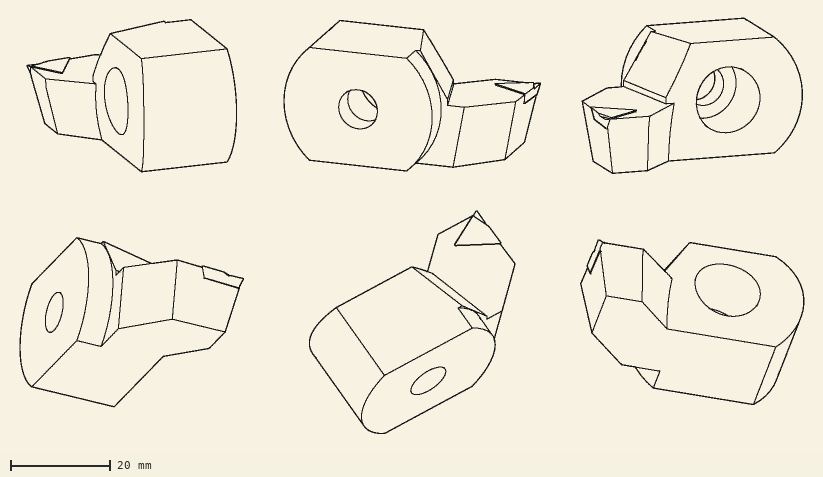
import cadquery as cq
import math


height = 24.0
half_height = height / 2
end_radius = 15.9
body_depth = 20.05
flange_depth = 5.45
front_crown = 1.55
bore_diameter = 8.3
counterbore_diameter = 13.6
counterbore_depth = body_depth - flange_depth

seat_tilt = math.radians(3)
seat_back_z = 1.05
shoulder_skew = math.radians(15)
shoulder_slope = math.radians(59)
shoulder_foot_x = -17.25
shoulder_wall = 1.25
clearance = 45.05

head_left_x = -26.65
head_front_y = -25.45
head_front_corner_x = -19.2
rear_corner_y = -13.55
rear_chamfer_run = 8.25
left_draft = math.radians(10.5)
front_draft = math.radians(13.1)
front_chamfer_spread = 0.18
head_inner_x = -9
head_loft_height = 15.75
front_crease_z = -2.15
upper_front_draft = math.radians(5.7)

insert_side = 9.65
insert_thickness = 2.4
insert_draft = 11
insert_corner_radius = 0.2
insert_left_x = -29.15
insert_mid_y = -23.8
insert_proud = 0.25

breaker_y = -23.8
breaker_angle = 21
breaker_land_z = -0.068
breaker_floor_z = -0.15
breaker_land_run = 0.65
breaker_wall_run = 0.23
breaker_wall_height = 0.5


def seat_z(y):
    return seat_back_z + (y + flange_depth) * math.tan(seat_tilt)


def make_end_plate(left_x, depth):
    """Plate of full height whose right end is an arc around the bore axis."""
    end_x = math.sqrt(end_radius**2 - half_height**2)
    return (
        cq.Workplane("XZ")
        .moveTo(left_x, -half_height)
        .lineTo(end_x, -half_height)
        .threePointArc((end_radius, 0), (end_x, half_height))
        .lineTo(left_x, half_height)
        .close()
        .extrude(depth)
    )


def make_flange():
    """Round plate at the back, flattened at top and bottom."""
    disc = cq.Workplane("XZ").circle(end_radius).extrude(flange_depth)
    flats = cq.Workplane("XY").box(2 * end_radius, 2 * flange_depth, height)
    return disc.intersect(flats)


def make_body():
    """Block in front of the flange with a front face crowned over its height."""
    edge_y = front_crown - body_depth
    side_profile = (
        cq.Workplane("YZ", origin=(shoulder_foot_x, 0, 0))
        .moveTo(-flange_depth, -half_height)
        .lineTo(edge_y, -half_height)
        .threePointArc((-body_depth, 0), (edge_y, half_height))
        .lineTo(-flange_depth, half_height)
        .close()
        .extrude(clearance)
    )
    return make_end_plate(shoulder_foot_x, body_depth).intersect(side_profile)


def head_outline(rise):
    """Corner points of the head at a height above the bottom face."""
    left_x = head_left_x - rise * math.tan(left_draft)
    front_y = head_front_y - rise * math.tan(front_draft)
    chamfer = head_front_corner_x - head_front_y + rise * front_chamfer_spread
    return [
        (left_x, front_y),
        (front_y + chamfer, front_y),
        (head_inner_x, head_inner_x - chamfer),
        (head_inner_x, -flange_depth),
        (left_x + rear_chamfer_run, -flange_depth),
        (left_x, rear_corner_y),
    ]


def make_space_above_seat():
    """Everything above the seat plane over the head."""
    return (
        cq.Workplane("YZ", origin=(-clearance, 0, 0))
        .polyline([(0, seat_z(0)), (0, clearance), (-clearance, clearance), (-clearance, seat_z(-clearance))])
        .close()
        .extrude(2 * clearance)
    )


def make_head():
    """Drafted head with a steeper band along the top of its front wall."""
    bottom = cq.Workplane("XY", origin=(0, 0, -half_height)).polyline(head_outline(0)).close()
    head = (
        bottom.workplane(offset=head_loft_height)
        .polyline(head_outline(head_loft_height))
        .close()
        .loft(ruled=True)
    )
    crease_y = head_front_y - (front_crease_z + half_height) * math.tan(front_draft)
    top_z = head_loft_height - half_height
    top_y = crease_y - (top_z - front_crease_z) * math.tan(upper_front_draft)
    band = (
        cq.Workplane("YZ", origin=(-clearance, 0, 0))
        .polyline([
            (crease_y, front_crease_z),
            (top_y, top_z),
            (-clearance, top_z),
            (-clearance, front_crease_z),
        ])
        .close()
        .extrude(clearance)
    )
    return head.cut(band).cut(make_space_above_seat())


def make_seat_space():
    """Space above the seat, bounded by the skewed shoulder."""
    wall_top_z = seat_back_z + shoulder_wall
    slope_end_x = shoulder_foot_x + (clearance - wall_top_z) / math.tan(shoulder_slope)
    points = [
        (shoulder_foot_x, seat_back_z),
        (shoulder_foot_x, wall_top_z),
        (slope_end_x, clearance),
        (-clearance, clearance),
        (-clearance, seat_back_z),
    ]
    wire = cq.Wire.makePolygon([cq.Vector(x, -flange_depth, z) for x, z in points], close=True)
    sweep = cq.Vector(math.tan(shoulder_skew), -1, -math.tan(seat_tilt)) * clearance
    return cq.Workplane(cq.Solid.extrudeLinear(wire, [], sweep))


def make_chip_breaker_space():
    """Lowered cutting corner: a sloping wall, a shallow floor and a level land."""
    wall_top_z = breaker_floor_z + breaker_wall_height
    return (
        cq.Workplane("XZ")
        .polyline([
            (0, wall_top_z),
            (-breaker_wall_run, breaker_floor_z),
            (-breaker_land_run, breaker_land_z),
            (-insert_side, breaker_land_z),
            (-insert_side, wall_top_z + insert_thickness),
            (0, wall_top_z + insert_thickness),
        ])
        .close()
        .extrude(insert_side, both=True)
        .rotate((0, 0, 0), (0, 0, 1), breaker_angle)
        .translate((insert_left_x, breaker_y, 0))
    )


def make_insert_blank():
    """Tapered triangle lying parallel to the seat, larger at the top."""
    triangle_height = insert_side * math.sqrt(3) / 2
    return (
        cq.Workplane("XY")
        .polyline([(0, -insert_side / 2), (triangle_height, 0), (0, insert_side / 2)])
        .close()
        .extrude(-insert_thickness, taper=insert_draft)
        .edges("not(#Z)")
        .fillet(insert_corner_radius)
        .rotate((0, 0, 0), (1, 0, 0), math.degrees(seat_tilt))
        .translate((insert_left_x, insert_mid_y, seat_z(insert_mid_y) + insert_proud))
    )


def make_holder(insert_blank):
    holder = make_body().union(make_head()).cut(make_seat_space()).union(make_flange())
    bore = cq.Workplane("XZ").circle(bore_diameter / 2).extrude(body_depth)
    counterbore = (
        cq.Workplane("XZ", origin=(0, -body_depth, 0))
        .circle(counterbore_diameter / 2)
        .extrude(-counterbore_depth)
    )
    return holder.cut(bore).cut(counterbore).cut(insert_blank)


blank = make_insert_blank()
holder = make_holder(blank)
insert = blank.cut(make_chip_breaker_space())

result = cq.Compound.makeCompound([holder.val(), insert.val()])